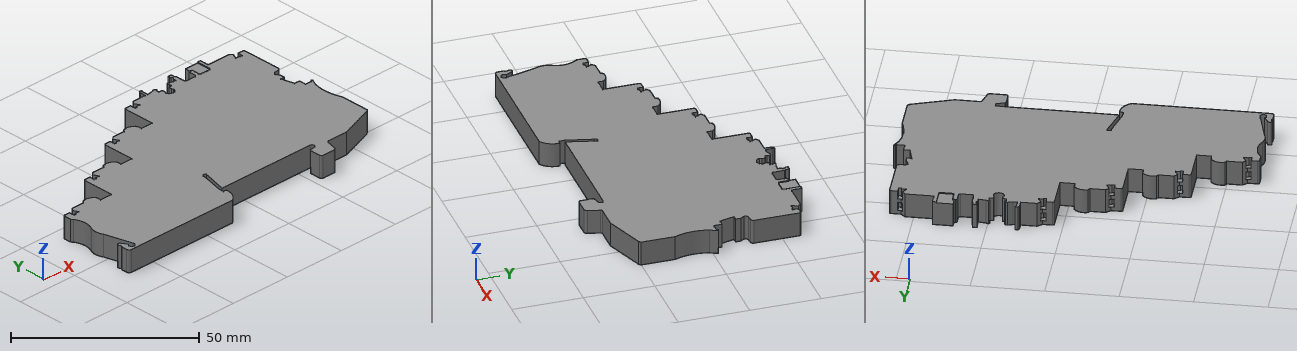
import cadquery as cq
length = 97.85
width = 58.8
thickness = 7.0

terrace_count = 4
terrace_x = 0.4
terrace_run = 16.98
terrace_rise = 9.74
first_deck_y = 26.6
lip_drop = 1.2
floor_drop = 2.1
deck_start = 4.4
lip_end = 3.1
corner = 0.5
top_y = first_deck_y + (terrace_count - 1) * terrace_rise
right_wall_x = 95.6

pocket_rows = 2
pocket_pitch = thickness / pocket_rows
pocket_height = 2.3
pocket_start = 2.25
pocket_step = 3.0
pocket_end = 4.4
pocket_depth = 1.7
pocket_shelf_depth = 1.4

groove_x = 66.4
groove_bottom_y = 51.7
groove_half = [(2.3, 56.4), (2.0, 55.9), (2.3, 55.4), (2.3, 54.7), (1.2, 54.5), (1.2, 53.5), (1.5, 52.9)]

slot_floor_y = 53.7
slot_left_x = 73.0
slot_right_x = 77.1
slot_corner = 0.5
tab_left_x = 77.9
tab_right_x = 83.5

recess_left_x = 78.4
recess_right_x = 82.4
recess_neck_y = 56.8
recess_depth = 0.3
recess_corner = 0.4

underside_y = 6.5
foot_corner = 0.9
foot_right_x = 38.4
rail_hook_left_x = 71.4
rail_hook_bottom_y = 0.2
rail_hook_corner = 0.7
ramp_bottom_y = 4.7


def polyline(outline, points):
    """Continue the outline through the given points."""
    for point in points:
        outline = outline.lineTo(*point)
    return outline


def left_side(outline):
    """Spring hook with its relief slot, then the wavy end of the housing."""
    outline = outline.moveTo(foot_corner, 0)
    outline = outline.radiusArc((0, foot_corner), foot_corner)
    outline = polyline(outline, [(0, 2.7), (0.3, 3.1), (0, 4.0)])
    outline = outline.threePointArc((0.5, 4.7), (1.2, 4.3))
    outline = outline.lineTo(2.25, 2.5)
    outline = outline.threePointArc((2.7, 0.9), (3.5, 2.2))
    outline = outline.lineTo(1.2, 11.0)
    outline = outline.threePointArc((0.6, 13.2), (1.0, 15.4))
    outline = outline.threePointArc((1.9, 18.5), (0.9, 22.1))
    return outline.lineTo(terrace_x, 22.7)


def terrace_lip(outline, index):
    """Wall, rounded lip and ramp up to the deck of one terrace."""
    x = terrace_x + index * terrace_run
    deck_y = first_deck_y + index * terrace_rise
    lip_y = deck_y - lip_drop
    outline = outline.lineTo(x, lip_y - corner)
    outline = outline.radiusArc((x + corner, lip_y), corner)
    return polyline(outline, [(x + lip_end, lip_y), (x + deck_start, deck_y)])


def terrace_hump(outline, index):
    """Hump at the end of a terrace deck and the floor up to the next wall."""
    x = terrace_x + index * terrace_run
    deck_y = first_deck_y + index * terrace_rise
    floor_y = deck_y - floor_drop
    outline = polyline(outline, [(x + 8.6, deck_y), (x + 9.0, deck_y + 0.7)])
    outline = outline.threePointArc((x + 10.1, deck_y + 0.9), (x + 12.9, deck_y - 0.5))
    return polyline(outline, [(x + 12.9, floor_y), (x + terrace_run, floor_y)])


def top_deck(outline):
    """Pin, groove, latch, slot and tab along the top edge."""
    pin = [(60.2, top_y), (60.2, 57.6), (60.5, 58.4), (61.4, 58.4), (61.1, 57.9), (61.1, top_y)]
    outline = polyline(outline, pin + [(62.2, 55.9), (63.6, 56.4)])
    outline = polyline(outline, [(groove_x - dx, y) for dx, y in groove_half])
    last_dx, last_y = groove_half[-1]
    outline = outline.threePointArc((groove_x, groove_bottom_y), (groove_x + last_dx, last_y))
    outline = polyline(outline, [(groove_x + dx, y) for dx, y in reversed(groove_half[:-1])])

    latch = [(69.5, 56.1), (71.5, top_y), (71.5, 56.8), (71.9, 57.2), (71.7, 57.9), (71.4, 58.1)]
    outline = polyline(outline, latch + [(71.4, width), (72.7, width), (72.7, 57.7)])

    outline = polyline(outline, [(slot_left_x, 57.3), (slot_left_x, slot_floor_y + slot_corner)])
    outline = outline.radiusArc((slot_left_x + slot_corner, slot_floor_y), -slot_corner)
    outline = outline.lineTo(slot_right_x - slot_corner, slot_floor_y)
    outline = outline.radiusArc((slot_right_x, slot_floor_y + slot_corner), -slot_corner)

    tab = [(tab_left_x, 56.9), (tab_left_x, width), (tab_right_x, width), (tab_right_x, top_y)]
    return polyline(outline, [(slot_right_x, 56.6), (77.5, 56.9)] + tab)


def right_side(outline):
    """Mirrored lip, stepped latch notch, curved grip and sloping lower corner."""
    lip_y = top_y - lip_drop
    outline = polyline(outline, [(right_wall_x - deck_start, top_y), (right_wall_x - lip_end, lip_y)])
    outline = outline.lineTo(right_wall_x - corner, lip_y)
    outline = outline.radiusArc((right_wall_x, lip_y - corner), corner)
    outline = outline.lineTo(right_wall_x, 41.4)
    outline = outline.threePointArc((95.3, 40.9), (94.8, 40.7))
    outline = outline.lineTo(93.5, 40.6)
    outline = outline.threePointArc((92.8, 40.0), (92.8, 39.5))
    notch = [(93.4, 38.5), (93.4, 37.0), (92.1, 37.0), (93.2, 32.8), (94.9, 32.8), (94.9, 30.4)]
    outline = polyline(outline, notch + [(97.2, 30.4), (97.4, 30.9), (length, 30.7), (96.8, 28.6)])
    outline = outline.threePointArc((96.2, 23.7), (97.3, 18.9))
    outline = outline.lineTo(97.3, 9.3)
    return polyline(outline, [(96.7, 8.8), (85.1, ramp_bottom_y), (78.4, ramp_bottom_y)])


def underside(outline):
    """Rail hook, flat rail seat, slanted spring slot and rounded foot."""
    outline = outline.threePointArc((78.1, 4.6), (77.9, 4.3))
    outline = outline.lineTo(77.0, 1.0)
    outline = outline.threePointArc((76.7, 0.4), (76.1, rail_hook_bottom_y))
    outline = outline.lineTo(rail_hook_left_x + rail_hook_corner, rail_hook_bottom_y)
    outline = outline.radiusArc((rail_hook_left_x, rail_hook_bottom_y + rail_hook_corner), rail_hook_corner)
    outline = polyline(outline, [(rail_hook_left_x, 4.3), (71.7, 4.6), (73.4, 5.0)])
    outline = outline.threePointArc((74.1, 5.8), (73.4, underside_y))
    outline = polyline(outline, [(40.7, underside_y), (42.9, 14.7)])
    outline = outline.threePointArc((42.3, 15.1), (41.7, 14.2))
    outline = polyline(outline, [(39.8, 6.8), (39.8, 5.0), (40.9, 5.0)])
    outline = outline.threePointArc((40.2, 2.0), (foot_right_x, 0))
    return outline.close()


def housing():
    outline = left_side(cq.Workplane("XY"))
    for index in range(terrace_count):
        outline = terrace_lip(outline, index)
        if index < terrace_count - 1:
            outline = terrace_hump(outline, index)
    outline = underside(right_side(top_deck(outline)))
    return outline.extrude(thickness)


def marker_pockets(wall_x, deck_y, direction):
    """Stacked pockets in one lip; direction is +1 or -1 along X from its wall."""
    lip_y = deck_y - lip_drop
    profile = [
        (pocket_start, deck_y),
        (pocket_start, lip_y - pocket_depth),
        (pocket_step, lip_y - pocket_depth),
        (pocket_step, lip_y - pocket_shelf_depth),
        (pocket_end, lip_y - pocket_shelf_depth),
        (lip_end, deck_y),
    ]
    points = [(wall_x + direction * dx, y) for dx, y in profile]
    pockets = cq.Workplane("XY")
    for row in range(1, pocket_rows + 1):
        bottom_z = row * pocket_pitch - pocket_height
        pocket = cq.Workplane("XY").workplane(offset=bottom_z).polyline(points).close()
        pockets = pockets.add(pocket.extrude(pocket_height))
    return pockets.combine()


def label_recess():
    points = [
        (tab_left_x, width),
        (tab_left_x, recess_neck_y),
        (recess_left_x, recess_neck_y),
        (recess_left_x, slot_floor_y),
        (recess_right_x, slot_floor_y),
        (recess_right_x, width),
    ]
    recess = cq.Workplane("XY").workplane(offset=thickness - recess_depth).polyline(points).close()
    recess = recess.extrude(recess_depth)
    return recess.edges("|Z and <Y").fillet(recess_corner)


result = housing()
for terrace in range(terrace_count):
    wall = terrace_x + terrace * terrace_run
    deck = first_deck_y + terrace * terrace_rise
    result = result.cut(marker_pockets(wall, deck, 1))
result = result.cut(marker_pockets(right_wall_x, top_y, -1))
result = result.cut(label_recess())